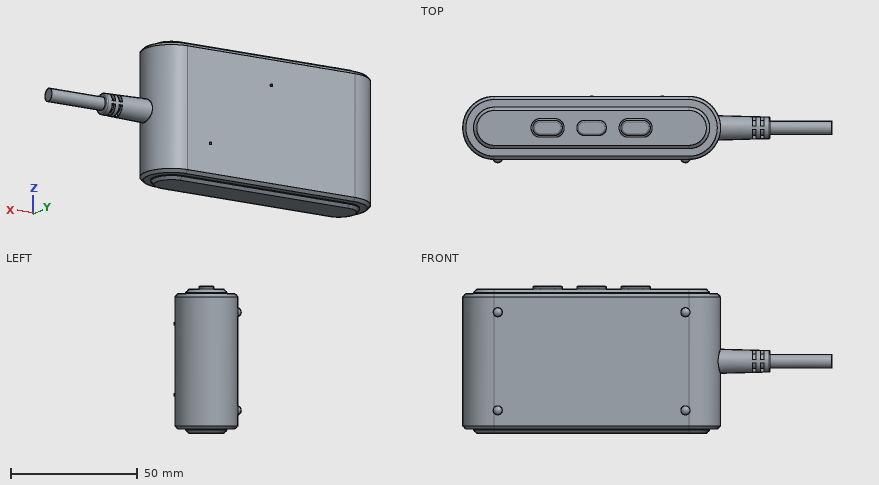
import cadquery as cq

overall_length = 146.0

case_length = 102.0
case_depth = 25.0
case_chamfer = 1.3
overall_height = 57.0
lid_thickness = 1.7
lid_inset = 4.3
lid_chamfer = 1.3
mid_height = overall_height / 2

button_length = 11.7
button_width = 6.0
button_height = 1.2
button_edge_radius = 0.6
button_spacing = 17.4
recess_gap = 0.7
recess_depth = 1.0

rivet_diameter = 3.6
rivet_height = 1.3
rivet_offset_x = 37.1
rivet_offset_z = 19.4

pip_diameter = 1.0
pip_height = 0.2
pip_offsets = ((0.0, 14.9), (28.0, -13.2))

cable_diameter = 5.4
cable_end_x = overall_length - case_length / 2
boot_root_diameter = 9.8
boot_tip_diameter = 8.6
boot_length = 19.5
boot_tip_fillet = 0.5
boot_embed = 3.0
groove_width = 1.4
groove_floor_diameter = 6.0
groove_rib_width = 1.3
groove_tip_distances = (3.1, 6.2)


def stadium(length, width, height, base_z):
    """Upright block with fully rounded ends, centred on the Z axis."""
    return cq.Workplane("XY", origin=(0, 0, base_z)).slot2D(length, width).extrude(height)


def make_case():
    shell_height = overall_height - 2 * lid_thickness
    shell = stadium(case_length, case_depth, shell_height, lid_thickness)
    shell = shell.faces("<Z or >Z").edges().chamfer(case_chamfer)
    lid_length = case_length - 2 * lid_inset
    lid_width = case_depth - 2 * lid_inset
    lids = stadium(lid_length, lid_width, overall_height, 0)
    lids = lids.faces("<Z or >Z").edges().chamfer(lid_chamfer)
    return shell.union(lids)


def add_buttons(body):
    recess_floor_z = overall_height - recess_depth
    recess_length = button_length + 2 * recess_gap
    recess_width = button_width + 2 * recess_gap
    recess = stadium(recess_length, recess_width, recess_depth, recess_floor_z)
    for column in (-1, 1):
        body = body.cut(recess.translate((column * button_spacing, 0, 0)))
    button = stadium(button_length, button_width, button_height + recess_depth, recess_floor_z)
    button = button.faces(">Z").edges().fillet(button_edge_radius)
    for column in (-1, 0, 1):
        body = body.union(button.translate((column * button_spacing, 0, 0)))
    return body


def add_rivets(body):
    rivet_radius = rivet_diameter / 2
    dome_radius = (rivet_radius**2 + rivet_height**2) / (2 * rivet_height)
    dome_center_y = -case_depth / 2 - rivet_height + dome_radius
    dome = cq.Workplane("XY").sphere(dome_radius)
    for side_x in (-1, 1):
        for side_z in (-1, 1):
            center = (side_x * rivet_offset_x, dome_center_y, mid_height + side_z * rivet_offset_z)
            body = body.union(dome.translate(center))
    return body


def add_pips(body):
    for offset_x, offset_z in pip_offsets:
        pip = (
            cq.Workplane("XZ", origin=(offset_x, case_depth / 2, mid_height + offset_z))
            .circle(pip_diameter / 2)
            .extrude(-pip_height)
        )
        body = body.union(pip)
    return body


def rod(start_x, end_x, diameter):
    """Cylinder on the cable axis."""
    return (
        cq.Workplane("YZ", origin=(start_x, 0, mid_height))
        .circle(diameter / 2)
        .extrude(end_x - start_x)
    )


def make_groove(center_x):
    """Ring around the boot, interrupted by four ribs at 90 degree steps."""
    start_x = center_x - groove_width / 2
    end_x = center_x + groove_width / 2
    ring = rod(start_x, end_x, boot_root_diameter)
    ring = ring.cut(rod(start_x, end_x, groove_floor_diameter))
    span = 2 * boot_root_diameter
    for rib_y, rib_z in ((span, groove_rib_width), (groove_rib_width, span)):
        rib = cq.Workplane("XY").box(groove_width, rib_y, rib_z)
        ring = ring.cut(rib.translate((center_x, 0, mid_height)))
    return ring


def make_cable():
    root_x = case_length / 2
    tip_x = root_x + boot_length
    boot = (
        cq.Workplane("YZ", origin=(root_x - boot_embed, 0, mid_height))
        .circle(boot_root_diameter / 2)
        .workplane(offset=boot_length + boot_embed)
        .circle(boot_tip_diameter / 2)
        .loft()
        .faces(">X")
        .edges()
        .fillet(boot_tip_fillet)
    )
    for distance in groove_tip_distances:
        boot = boot.cut(make_groove(tip_x - distance))
    return boot.union(rod(root_x, cable_end_x, cable_diameter))


body = make_case()
body = add_buttons(body)
body = add_rivets(body)
body = add_pips(body)
result = body.union(make_cable())